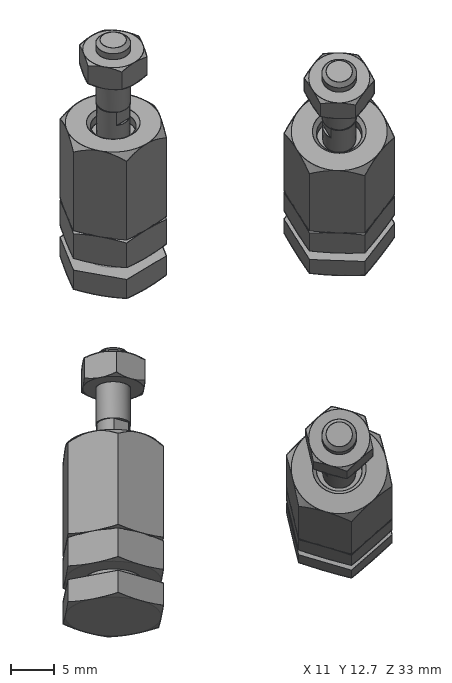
import cadquery as cq
import math

overall_height = 33.0
base_top = 3.0
locknut_bottom = 4.5
locknut_top = 8.5
housing_top = 21.0
flats_bottom = 22.0
shank_bottom = 24.0
stud_nut_bottom = 28.5
stud_nut_top = 31.68

housing_across_flats = 11.0
neck_diameter = 6.6
neck_fillet = 0.6
socket_diameter = 5.2
socket_chamfer = 0.45
socket_depth = 1.52
socket_floor = housing_top - socket_depth

shank_diameter = 4.0
tip_diameter = 3.0
tip_chamfer_height = 0.45
stem_diameter = 3.8
stem_across_flats = 3.2
stud_nut_across_flats = 7.0

housing_top_slope = 45.0
shallow_slope = 15.0
stud_nut_slope = 30.0


def cylinder(diameter, bottom, top):
    return cq.Workplane("XY").workplane(offset=bottom).circle(diameter / 2).extrude(top - bottom)


def hexagon(across_flats, bottom, top, bottom_slope=0.0, top_slope=0.0):
    """Hexagonal prism with corners on the Y axis and conically chamfered ends."""
    flat_radius = across_flats / 2
    corner_radius = across_flats / math.sqrt(3)
    corner_width = corner_radius - flat_radius
    bottom_drop = corner_width * math.tan(math.radians(bottom_slope))
    top_drop = corner_width * math.tan(math.radians(top_slope))

    prism = (
        cq.Workplane("XY")
        .workplane(offset=bottom)
        .transformed(rotate=(0, 0, 90))
        .polygon(6, 2 * corner_radius)
        .extrude(top - bottom)
    )
    for face_level, edge_level in ((bottom, bottom + bottom_drop), (top, top - top_drop)):
        if face_level == edge_level:
            continue
        overshoot = 2.0
        outer_radius = flat_radius + overshoot * corner_width
        outer_level = face_level + overshoot * (edge_level - face_level)
        ring = (
            cq.Workplane("XZ")
            .moveTo(flat_radius, face_level)
            .lineTo(outer_radius, face_level)
            .lineTo(outer_radius, outer_level)
            .close()
            .revolve(360, (0, 0, 0), (0, 1, 0))
        )
        prism = prism.cut(ring)
    return prism


def make_housing():
    """Hexagonal base, filleted neck, locknut and long hexagon with a stud socket."""
    base = hexagon(housing_across_flats, 0, base_top, bottom_slope=shallow_slope)
    neck = cylinder(neck_diameter, base_top, locknut_bottom)
    neck_root = cq.selectors.BoxSelector(
        (-neck_diameter, -neck_diameter, base_top - neck_fillet),
        (neck_diameter, neck_diameter, base_top + neck_fillet),
    )
    foot = base.union(neck).edges("%CIRCLE").edges(neck_root).fillet(neck_fillet)

    locknut = hexagon(housing_across_flats, locknut_bottom, locknut_top, shallow_slope, shallow_slope)
    sleeve = hexagon(housing_across_flats, locknut_top, housing_top, shallow_slope, housing_top_slope)
    socket = cylinder(socket_diameter, socket_floor, housing_top)
    countersink = (
        cq.Workplane("XY")
        .workplane(offset=housing_top)
        .circle(socket_diameter / 2 + socket_chamfer)
        .workplane(offset=-socket_chamfer)
        .circle(socket_diameter / 2)
        .loft()
    )
    return foot.union(locknut).union(sleeve).cut(socket).cut(countersink)


def make_stud():
    """Stepped stud standing on the socket floor, with wrench flats and a hexagonal nut."""
    tip_chamfer_width = (shank_diameter - tip_diameter) / 2
    shank = (
        cylinder(shank_diameter, shank_bottom, overall_height)
        .faces(">Z")
        .chamfer(tip_chamfer_height, tip_chamfer_width)
    )
    stem = cylinder(stem_diameter, socket_floor, flats_bottom)
    flatted_stem = cylinder(stem_diameter, flats_bottom, shank_bottom).intersect(
        cq.Workplane("XY")
        .workplane(offset=flats_bottom)
        .rect(stem_across_flats, stem_diameter)
        .extrude(shank_bottom - flats_bottom)
    )
    nut = hexagon(stud_nut_across_flats, stud_nut_bottom, stud_nut_top, stud_nut_slope, stud_nut_slope)
    return stem.union(flatted_stem).union(shank).union(nut)


housing = make_housing()
stud = make_stud()

result = cq.Compound.makeCompound([housing.val(), stud.val()])